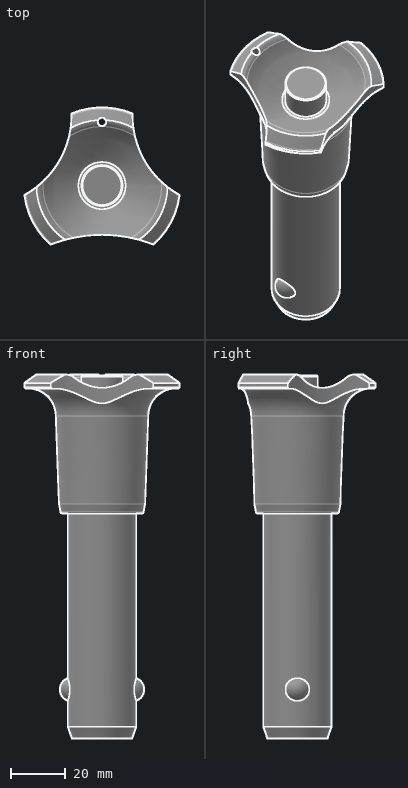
import cadquery as cq
import math

pin_bottom_z = -132.7
pin_radius = 12.5
pin_tip_radius = 11.0
pin_tip_height = 4.3

rim_radius = 28.53
rim_crest_radius = 23.9
rim_edge_top_z = -2.8
rim_edge_break = 0.5
crest_round = 3.0
dish_radius = 21.6
dish_mid_radius = 18.1
dish_mid_z = -4.8
dish_floor_radius = 8.6
dish_floor_z = -10.8
neck_radius = 16.9
neck_z = -15.1
flare_round = 9.9
rim_edge_bottom_z = neck_z + flare_round
grip_end_radius = 15.75
grip_end_z = -47.1
nose_radius = 15.2
nose_round = 0.7
handle_bottom_z = -50.7

scallop_depth_radius = 18.0
scallop_cutter_radii = {30: 33.0, 150: 33.0, 270: 52.0}

lanyard_hole_diameter = 3.0
lanyard_hole_y = 23.2

button_radius = 7.5
button_chamfer = 0.4
button_top_z = -0.4

ball_radius = 4.4
ball_offset = 11.0
ball_z = -114.8


def make_handle():
    """Revolved grip with a flared, dished rim."""
    crest_angle = math.asin((rim_crest_radius - dish_radius) / crest_round)
    dish_top_z = crest_round * (math.cos(crest_angle) - 1)
    crest_mid = (
        rim_crest_radius - crest_round * math.sin(crest_angle / 2),
        crest_round * (math.cos(crest_angle / 2) - 1),
    )
    flare_centre_r = neck_radius + flare_round
    flare_mid = (
        flare_centre_r - flare_round * math.sqrt(0.5),
        neck_z + flare_round * math.sqrt(0.5),
    )
    nose_mid = (
        nose_radius - nose_round * (1 - math.sqrt(0.5)),
        handle_bottom_z + nose_round * (1 - math.sqrt(0.5)),
    )
    profile = (
        cq.Workplane("XZ")
        .moveTo(0, handle_bottom_z)
        .lineTo(nose_radius - nose_round, handle_bottom_z)
        .threePointArc(nose_mid, (nose_radius, handle_bottom_z + nose_round))
        .lineTo(grip_end_radius, grip_end_z)
        .lineTo(neck_radius, neck_z)
        .threePointArc(flare_mid, (flare_centre_r, rim_edge_bottom_z))
        .lineTo(rim_radius - rim_edge_break, rim_edge_bottom_z)
        .lineTo(rim_radius, rim_edge_bottom_z + rim_edge_break)
        .lineTo(rim_radius, rim_edge_top_z - rim_edge_break)
        .lineTo(rim_radius - rim_edge_break, rim_edge_top_z)
        .lineTo(rim_crest_radius, 0)
        .threePointArc(crest_mid, (dish_radius, dish_top_z))
        .threePointArc((dish_mid_radius, dish_mid_z), (dish_floor_radius, dish_floor_z))
        .lineTo(0, dish_floor_z)
        .close()
    )
    return profile.revolve(360, (0, 0, 0), (0, 1, 0))


def make_scallop(direction, cutter_radius):
    """Vertical cylinder that cuts one scallop, centred outside the rim."""
    centre_distance = scallop_depth_radius + cutter_radius
    angle = math.radians(direction)
    return (
        cq.Workplane("XY", origin=(0, 0, neck_z))
        .center(centre_distance * math.cos(angle), centre_distance * math.sin(angle))
        .circle(cutter_radius)
        .extrude(-neck_z)
    )


def make_lanyard_hole():
    return (
        cq.Workplane("XY", origin=(0, lanyard_hole_y, neck_z))
        .circle(lanyard_hole_diameter / 2)
        .extrude(-neck_z)
    )


def make_pin():
    """Straight shank with a conical tip."""
    profile = (
        cq.Workplane("XZ")
        .moveTo(0, pin_bottom_z)
        .lineTo(pin_tip_radius, pin_bottom_z)
        .lineTo(pin_radius, pin_bottom_z + pin_tip_height)
        .lineTo(pin_radius, grip_end_z)
        .lineTo(0, grip_end_z)
        .close()
    )
    return profile.revolve(360, (0, 0, 0), (0, 1, 0))


def make_button():
    """Release button rising from the dish floor; it is rooted inside the grip."""
    return (
        cq.Workplane("XY", origin=(0, 0, neck_z))
        .circle(button_radius)
        .extrude(button_top_z - neck_z)
        .faces(">Z")
        .chamfer(button_chamfer)
    )


def make_ball(side):
    return cq.Workplane("XY").sphere(ball_radius).translate((side * ball_offset, 0, ball_z))


handle = make_handle()
for scallop_direction, scallop_cutter_radius in scallop_cutter_radii.items():
    handle = handle.cut(make_scallop(scallop_direction, scallop_cutter_radius))
handle = handle.cut(make_lanyard_hole())

result = handle.union(make_pin()).union(make_button())
for ball_side in (-1, 1):
    result = result.union(make_ball(ball_side))